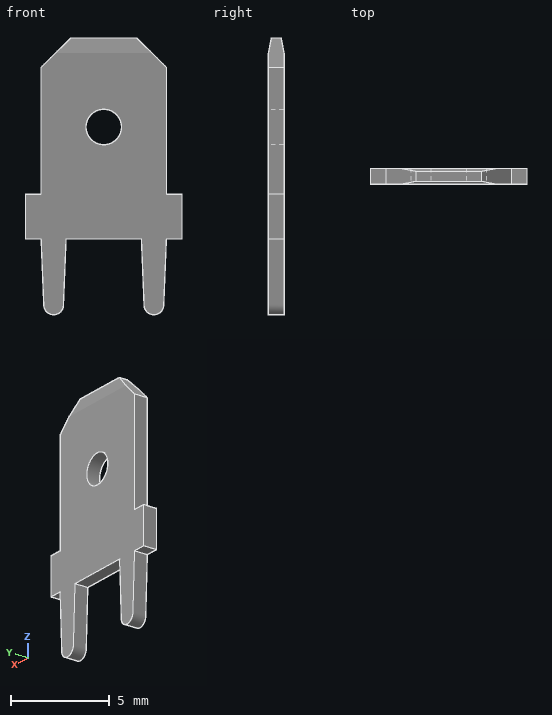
import cadquery as cq

total_height = 14.02
thickness = 0.81

blade_width = 6.35
tip_width = 3.34
corner_height = 1.5
bevel_height = 0.79
bevel_depth = 0.15
hole_diameter = 1.78
hole_z = 9.5

shoulder_width = 7.92
shoulder_bottom = 3.83
shoulder_top = 6.11

leg_spacing = 5.08
leg_root_width = 1.28
leg_tip_width = 1.01
leg_tip_radius = leg_tip_width / 2


def extrude_plate(outline):
    """Extrude an XZ outline through the plate thickness, centred on Y = 0."""
    return outline.extrude(thickness / 2, both=True)


def make_blade():
    """Upright blade with two sloped top corners."""
    half_blade = blade_width / 2
    half_tip = tip_width / 2
    corner_z = total_height - corner_height
    outline = cq.Workplane("XZ").polyline([
        (-half_blade, shoulder_bottom),
        (half_blade, shoulder_bottom),
        (half_blade, corner_z),
        (half_tip, total_height),
        (-half_tip, total_height),
        (-half_blade, corner_z),
    ]).close()
    return extrude_plate(outline)


def make_shoulders():
    """Wide band that stops the blade against the board."""
    height = shoulder_top - shoulder_bottom
    centre_z = (shoulder_top + shoulder_bottom) / 2
    outline = cq.Workplane("XZ").center(0, centre_z).rect(shoulder_width, height)
    return extrude_plate(outline)


def make_leg(centre_x):
    """Tapered leg with a round end."""
    half_root = leg_root_width / 2
    outline = (
        cq.Workplane("XZ")
        .moveTo(centre_x - half_root, shoulder_bottom)
        .lineTo(centre_x - leg_tip_radius, leg_tip_radius)
        .threePointArc((centre_x, 0), (centre_x + leg_tip_radius, leg_tip_radius))
        .lineTo(centre_x + half_root, shoulder_bottom)
        .close()
    )
    return extrude_plate(outline)


def make_tip_bevel(side):
    """Wedge removed from one face (side = -1 or 1) to thin the blade tip."""
    face_y = side * thickness / 2
    return (
        cq.Workplane("YZ")
        .polyline([
            (face_y, total_height - bevel_height),
            (face_y, total_height),
            (face_y - side * bevel_depth, total_height),
        ])
        .close()
        .extrude(blade_width / 2, both=True)
    )


result = make_blade().union(make_shoulders())

for side in (-1, 1):
    result = result.union(make_leg(side * leg_spacing / 2))
    result = result.cut(make_tip_bevel(side))

hole = extrude_plate(cq.Workplane("XZ").center(0, hole_z).circle(hole_diameter / 2))
result = result.cut(hole)